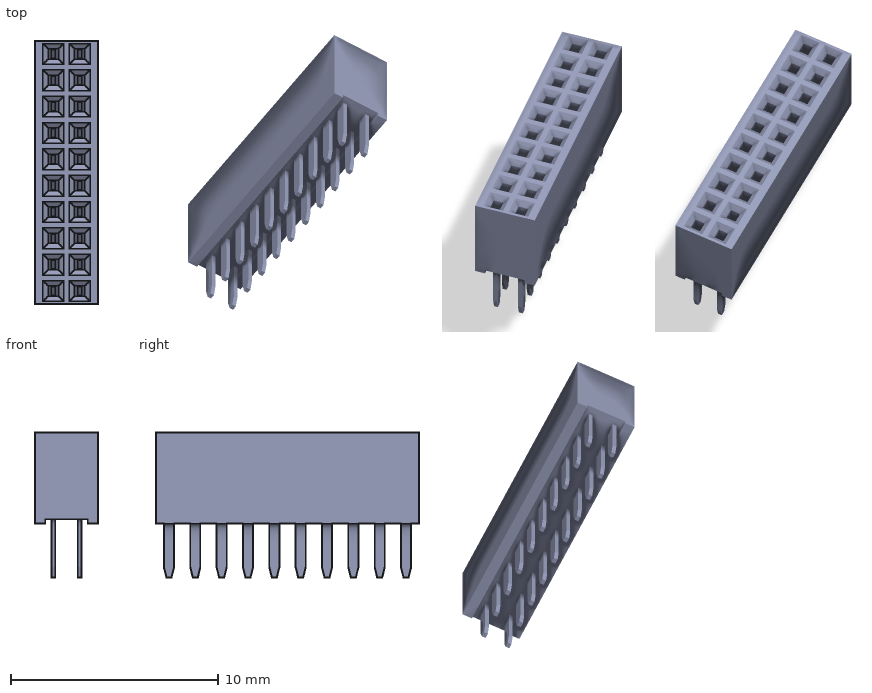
import cadquery as cq

PITCH = 1.27
COLUMNS = 2
ROWS = 10

HOUSING_X = 3.05
HOUSING_Y = ROWS * PITCH
HOUSING_TOP = 4.4
FOOT_WIDTH = 0.51
FOOT_HEIGHT = 0.2

FUNNEL_MOUTH = 1.0
SHAFT_WIDTH = 0.5
FUNNEL_DEPTH = 0.25
SHAFT_FLOOR = 1.9

PIN_THICKNESS = 0.2
PIN_WIDTH = 0.5
PIN_TIP_WIDTH = 0.25
PIN_TAPER_LENGTH = 0.5
PIN_BOTTOM = -2.6

RECESS_DEPTH = 0.045
RECESS_FLOOR_WIDTH = SHAFT_WIDTH - 2 * RECESS_DEPTH


def grid_positions():
    """Centre of every socket and pin, spread evenly about the Z axis."""
    return [
        ((column - (COLUMNS - 1) / 2) * PITCH, (row - (ROWS - 1) / 2) * PITCH)
        for column in range(COLUMNS)
        for row in range(ROWS)
    ]


def make_housing():
    """Block with a channel along Y underneath, which leaves a foot on each side."""
    block = cq.Workplane("XY").box(HOUSING_X, HOUSING_Y, HOUSING_TOP, centered=(True, True, False))
    channel_width = HOUSING_X - 2 * FOOT_WIDTH
    channel = cq.Workplane("XY").box(channel_width, HOUSING_Y, FOOT_HEIGHT, centered=(True, True, False))
    return block.cut(channel)


def make_strip(half_profile):
    """Flat strip of pin thickness, from the +Y half of an outline symmetric about the Z axis."""
    mirrored_half = [(-y, z) for y, z in reversed(half_profile)]
    return (
        cq.Workplane("YZ")
        .polyline(half_profile + mirrored_half)
        .close()
        .extrude(PIN_THICKNESS / 2, both=True)
    )


def make_socket():
    """Cavity of one socket, centred on the Z axis."""
    funnel = (
        cq.Workplane("XY", origin=(0, 0, HOUSING_TOP))
        .rect(FUNNEL_MOUTH, FUNNEL_MOUTH)
        .workplane(offset=-FUNNEL_DEPTH)
        .rect(SHAFT_WIDTH, SHAFT_WIDTH)
        .loft(ruled=True)
    )
    shaft_height = HOUSING_TOP - FUNNEL_DEPTH - SHAFT_FLOOR
    shaft = (
        cq.Workplane("XY", origin=(0, 0, SHAFT_FLOOR))
        .rect(SHAFT_WIDTH, SHAFT_WIDTH)
        .extrude(shaft_height)
    )
    recess = make_strip([
        (RECESS_FLOOR_WIDTH / 2, SHAFT_FLOOR - RECESS_DEPTH),
        (SHAFT_WIDTH / 2, SHAFT_FLOOR),
    ])
    return funnel.union(shaft).union(recess)


def make_pin():
    """One pin, from its tapered tip up to the underside of the housing."""
    return make_strip([
        (PIN_TIP_WIDTH / 2, PIN_BOTTOM),
        (PIN_WIDTH / 2, PIN_BOTTOM + PIN_TAPER_LENGTH),
        (PIN_WIDTH / 2, FOOT_HEIGHT),
    ])


def at_every_position(shape):
    """Copies of a shape at all grid positions, as one compound."""
    solid = shape.val()
    copies = [solid.moved(cq.Location(cq.Vector(x, y, 0))) for x, y in grid_positions()]
    return cq.Compound.makeCompound(copies)


housing = make_housing().cut(cq.Workplane(at_every_position(make_socket())))
result = housing.union(cq.Workplane(at_every_position(make_pin())))